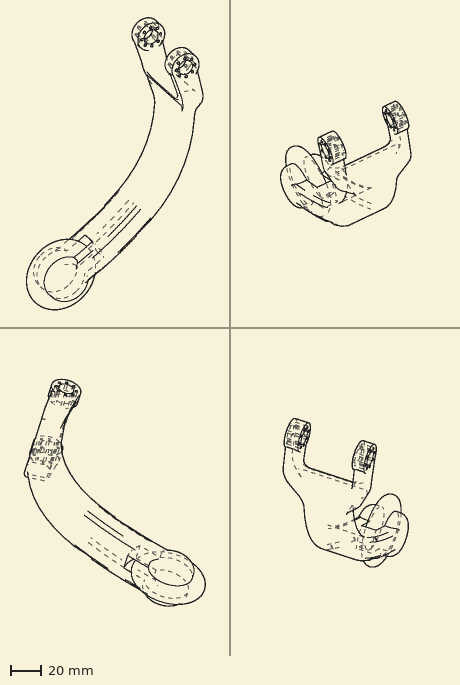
import cadquery as cq
import math


TOLERANCE = 0.01

WHEEL_RADIUS = 25.0
WHEEL_WIDTH = 9.0
WHEEL_RIM_FILLET = 4.49

HUB_CENTER = (0.0, 0.0)
HUB_RADIUS = 15.0
HUB_FILLET = 6.5
SLOT_WIDTH = 10.5
SLOT_CENTER_X = -0.25
SLOT_RADIUS = 30.0

ARM_WIDTH = 30.0
ARM_THICKNESS = 16.0
ARM_EDGE_FILLET = 2.5
BEND_CENTER = (-8.08, 106.0)
BEND_RADIUS_BACK = 100.0
BEND_RADIUS_FRONT = BEND_RADIUS_BACK - ARM_THICKNESS
FLAT_LOW_Z = 109.6
BEND_END_ANGLE = math.radians(-47)
LOWER_RADIUS_BACK = 250.0
LOWER_RADIUS_FRONT = LOWER_RADIUS_BACK - ARM_THICKNESS

FORK_LEFT_X = -26.5
FORK_RIGHT_X = 31.0
LEFT_PRONG_WIDTH = 8.5
RIGHT_PRONG_WIDTH = 10.0
GAP_LEFT_X = FORK_LEFT_X + LEFT_PRONG_WIDTH
GAP_RIGHT_X = FORK_RIGHT_X - RIGHT_PRONG_WIDTH
FORK_FLOOR_Z = 123.9
FORK_CORNER_RADIUS = 4.5
FORK_EDGE_FILLET = 4.5
PRONG_JOINT_Z = FORK_FLOOR_Z + FORK_CORNER_RADIUS
PRONG_BACK_ANGLE = math.asin((PRONG_JOINT_Z - BEND_CENTER[1]) / BEND_RADIUS_BACK)
FORK_FRONT_DEPTH = 6.0
PRONG_FRONT_EYE_Z = 143.6
PRONG_BACK_EYE_Z = 145.5
LEDGE_LOW_Z = 118.5
LEDGE_HIGH_Z = 122.6
FLARE_ANGLE = math.radians(45)
LEFT_FLARE_RADIUS = 9.7
LEFT_FLARE_END_Z = 101.8
RIGHT_FLARE_RADIUS = 15.0
RIGHT_FLARE_END_Z = 99.5

EYE_RADIUS = 10.0
EYE_CENTER = (76.0, 149.33)
EYE_BORE_DIAMETER = 10.2
EYE_SIDE_HOLE_DIAMETER = 1.62
EYE_SIDE_HOLE_CIRCLE = 13.7
EYE_SIDE_HOLE_COUNT = 8
EYE_SIDE_HOLE_START = 4.0


def on_circle(center, radius, angle):
    return (center[0] + radius * math.cos(angle), center[1] + radius * math.sin(angle))


def cylinder_x(center, radius, x_start, length):
    plane = cq.Workplane("YZ", origin=(x_start, center[0], center[1]))
    return plane.circle(radius).extrude(length)


def bend_front_y(z):
    """Y of the front of the main bend at height z."""
    return BEND_CENTER[0] + math.sqrt(BEND_RADIUS_FRONT**2 - (z - BEND_CENTER[1]) ** 2)


FLAT_FRONT_Y = bend_front_y(FLAT_LOW_Z)
FORK_FRONT_INNER_Y = FLAT_FRONT_Y + FORK_FRONT_DEPTH


def arm_profile():
    """Arm outline in the YZ plane, from the hub to the eyes, with a flat front above the bend."""
    lower_center = on_circle(BEND_CENTER, BEND_RADIUS_BACK - LOWER_RADIUS_BACK, BEND_END_ANGLE)
    hub_angle = math.atan2(-lower_center[1], -lower_center[0])
    lower_middle = (hub_angle + BEND_END_ANGLE) / 2
    back_top = on_circle(BEND_CENTER, BEND_RADIUS_BACK, PRONG_BACK_ANGLE)
    back_eye_y = back_top[0] - (PRONG_BACK_EYE_Z - back_top[1]) * math.tan(PRONG_BACK_ANGLE)
    return (
        cq.Workplane("YZ", origin=(FORK_LEFT_X, 0, 0))
        .moveTo(*on_circle(lower_center, LOWER_RADIUS_BACK, hub_angle))
        .threePointArc(
            on_circle(lower_center, LOWER_RADIUS_BACK, lower_middle),
            on_circle(BEND_CENTER, BEND_RADIUS_BACK, BEND_END_ANGLE),
        )
        .threePointArc(
            on_circle(BEND_CENTER, BEND_RADIUS_BACK, (BEND_END_ANGLE + PRONG_BACK_ANGLE) / 2),
            back_top,
        )
        .lineTo(back_eye_y, PRONG_BACK_EYE_Z)
        .lineTo(FLAT_FRONT_Y, PRONG_BACK_EYE_Z)
        .lineTo(FLAT_FRONT_Y, FLAT_LOW_Z)
        .threePointArc(
            on_circle(BEND_CENTER, BEND_RADIUS_FRONT, BEND_END_ANGLE / 2),
            on_circle(BEND_CENTER, BEND_RADIUS_FRONT, BEND_END_ANGLE),
        )
        .threePointArc(
            on_circle(lower_center, LOWER_RADIUS_FRONT, lower_middle),
            on_circle(lower_center, LOWER_RADIUS_FRONT, hub_angle),
        )
        .close()
        .extrude(FORK_RIGHT_X - FORK_LEFT_X)
    )


def fork_front_profile():
    """Front part of the fork in the YZ plane: the bend carried on upwards into the prongs."""
    eye_drop = EYE_CENTER[1] - PRONG_FRONT_EYE_Z
    eye_touch_y = EYE_CENTER[0] - math.sqrt(EYE_RADIUS**2 - eye_drop**2)
    low_z = 2 * BEND_CENTER[1] - PRONG_JOINT_Z
    return (
        cq.Workplane("YZ", origin=(FORK_LEFT_X, 0, 0))
        .moveTo(FORK_FRONT_INNER_Y, PRONG_FRONT_EYE_Z)
        .lineTo(eye_touch_y, PRONG_FRONT_EYE_Z)
        .lineTo(bend_front_y(PRONG_JOINT_Z), PRONG_JOINT_Z)
        .threePointArc(
            (bend_front_y(BEND_CENTER[1]), BEND_CENTER[1]),
            (bend_front_y(low_z), low_z),
        )
        .lineTo(FORK_FRONT_INNER_Y, low_z)
        .close()
        .extrude(FORK_RIGHT_X - FORK_LEFT_X)
    )


def above_ledge():
    """Space in front of FORK_FRONT_INNER_Y and above the sloped ledge that ends the flat."""
    ledge_slope = (LEDGE_HIGH_Z - LEDGE_LOW_Z) / (FLAT_FRONT_Y - bend_front_y(LEDGE_HIGH_Z))
    outer_y = EYE_CENTER[0] - EYE_RADIUS
    return (
        cq.Workplane("YZ", origin=(FORK_LEFT_X, 0, 0))
        .moveTo(FORK_FRONT_INNER_Y, LEDGE_LOW_Z - ledge_slope * (FORK_FRONT_INNER_Y - FLAT_FRONT_Y))
        .lineTo(outer_y, LEDGE_LOW_Z + ledge_slope * (FLAT_FRONT_Y - outer_y))
        .lineTo(outer_y, PRONG_BACK_EYE_Z)
        .lineTo(FORK_FRONT_INNER_Y, PRONG_BACK_EYE_Z)
        .close()
        .extrude(FORK_RIGHT_X - FORK_LEFT_X)
    )


def flare_points(arm_x, fork_x, radius, end_z):
    """Points of a sloped flare from the arm side up to the fork side: arc, line, arc."""
    side = math.copysign(1, fork_x)
    rise = radius * math.sin(FLARE_ANGLE)
    inset = radius * (1 - math.cos(FLARE_ANGLE))
    half_rise = radius * math.sin(FLARE_ANGLE / 2)
    half_inset = radius * (1 - math.cos(FLARE_ANGLE / 2))
    slope_rise = (abs(fork_x - arm_x) - 2 * inset) / math.tan(FLARE_ANGLE)
    top_z = end_z + 2 * rise + slope_rise
    return {
        "arm_end": (arm_x, end_z),
        "arm_mid": (arm_x + side * half_inset, end_z + half_rise),
        "slope_low": (arm_x + side * inset, end_z + rise),
        "slope_high": (fork_x - side * inset, top_z - rise),
        "fork_mid": (fork_x - side * half_inset, top_z - half_rise),
        "fork_end": (fork_x, top_z),
    }


def front_outline():
    """Arm and fork outline in the XZ plane, extruded through the whole depth."""
    left = flare_points(-ARM_WIDTH / 2, FORK_LEFT_X, LEFT_FLARE_RADIUS, LEFT_FLARE_END_Z)
    right = flare_points(ARM_WIDTH / 2, FORK_RIGHT_X, RIGHT_FLARE_RADIUS, RIGHT_FLARE_END_Z)
    top_z = EYE_CENTER[1] + EYE_RADIUS
    return (
        cq.Workplane("XZ")
        .moveTo(-ARM_WIDTH / 2, -HUB_RADIUS)
        .lineTo(*left["arm_end"])
        .threePointArc(left["arm_mid"], left["slope_low"])
        .lineTo(*left["slope_high"])
        .threePointArc(left["fork_mid"], left["fork_end"])
        .lineTo(FORK_LEFT_X, top_z)
        .lineTo(FORK_RIGHT_X, top_z)
        .lineTo(*right["fork_end"])
        .threePointArc(right["fork_mid"], right["slope_high"])
        .lineTo(*right["slope_low"])
        .threePointArc(right["arm_mid"], right["arm_end"])
        .lineTo(ARM_WIDTH / 2, -HUB_RADIUS)
        .close()
        .extrude(-2 * BEND_RADIUS_BACK, both=True)
    )


def fork_gap():
    top_z = EYE_CENTER[1] + 2 * EYE_RADIUS
    return (
        cq.Workplane("XZ")
        .moveTo(GAP_LEFT_X, top_z)
        .lineTo(GAP_RIGHT_X, top_z)
        .lineTo(GAP_RIGHT_X, FORK_FLOOR_Z)
        .lineTo(GAP_LEFT_X, FORK_FLOOR_Z)
        .close()
        .extrude(-2 * BEND_RADIUS_BACK)
        .edges("<Z and |Y")
        .fillet(FORK_CORNER_RADIUS)
    )


def is_gap_edge(edge):
    """True for the edges where the fork gap meets the curved front or back of the fork."""
    ends = (edge.startPoint(), edge.endPoint())
    in_gap = all(GAP_LEFT_X - TOLERANCE < p.x < GAP_RIGHT_X + TOLERANCE for p in ends)
    above_floor = all(p.z > FORK_FLOOR_Z - TOLERANCE for p in ends)
    below_eye = edge.Center().z < PRONG_FRONT_EYE_Z - TOLERANCE
    flush = any(all(abs(p.y - y) < TOLERANCE for p in ends) for y in (FLAT_FRONT_Y, FORK_FRONT_INNER_Y))
    level = abs(ends[0].z - ends[1].z) < TOLERANCE
    along_y = level and abs(ends[0].y - ends[1].y) > TOLERANCE
    return in_gap and above_floor and below_eye and not flush and not along_y


def cut_fork_gap(body):
    """Cut the gap between the prongs and round its front and back edges."""
    return body.cut(fork_gap()).edges().filter(is_gap_edge).fillet(FORK_EDGE_FILLET)


def build_fork_arm():
    """Arm with the fork; its front above the ledge comes from a separately rounded piece."""
    outline = front_outline()
    arm = arm_profile().intersect(outline)
    long_edges = arm.edges("not(|X or |Y)").filter(lambda edge: edge.Center().z > HUB_RADIUS / 2)
    arm = long_edges.fillet(ARM_EDGE_FILLET)
    arm = cut_fork_gap(arm).cut(above_ledge())
    fork_front = cut_fork_gap(fork_front_profile().intersect(outline)).intersect(above_ledge())
    return arm.union(fork_front)


def add_eye(body, x_start, width):
    return body.union(cylinder_x(EYE_CENTER, EYE_RADIUS, x_start, width))


def eye_holes():
    """Main bore and the ring of small holes, through both eyes."""
    length = FORK_RIGHT_X - FORK_LEFT_X
    holes = cylinder_x(EYE_CENTER, EYE_BORE_DIAMETER / 2, FORK_LEFT_X, length)
    for i in range(EYE_SIDE_HOLE_COUNT):
        angle = math.radians(EYE_SIDE_HOLE_START + i * 360 / EYE_SIDE_HOLE_COUNT)
        center = on_circle(EYE_CENTER, EYE_SIDE_HOLE_CIRCLE / 2, angle)
        holes = holes.add(cylinder_x(center, EYE_SIDE_HOLE_DIAMETER / 2, FORK_LEFT_X, length))
    return holes.combine()


def build_frame():
    hub = cylinder_x(HUB_CENTER, HUB_RADIUS, -ARM_WIDTH / 2, ARM_WIDTH).edges().fillet(HUB_FILLET)
    frame = build_fork_arm().union(hub)
    frame = add_eye(frame, FORK_LEFT_X, LEFT_PRONG_WIDTH)
    frame = add_eye(frame, GAP_RIGHT_X, RIGHT_PRONG_WIDTH)
    frame = frame.cut(eye_holes())
    slot_start_x = SLOT_CENTER_X - SLOT_WIDTH / 2
    return frame.cut(cylinder_x(HUB_CENTER, SLOT_RADIUS, slot_start_x, SLOT_WIDTH))


def build_wheel():
    disc = cylinder_x(HUB_CENTER, WHEEL_RADIUS, -WHEEL_WIDTH / 2, WHEEL_WIDTH)
    return disc.edges().fillet(WHEEL_RIM_FILLET)


frame = build_frame()
wheel = build_wheel()
result = cq.Compound.makeCompound([frame.solids().val(), wheel.solids().val()])